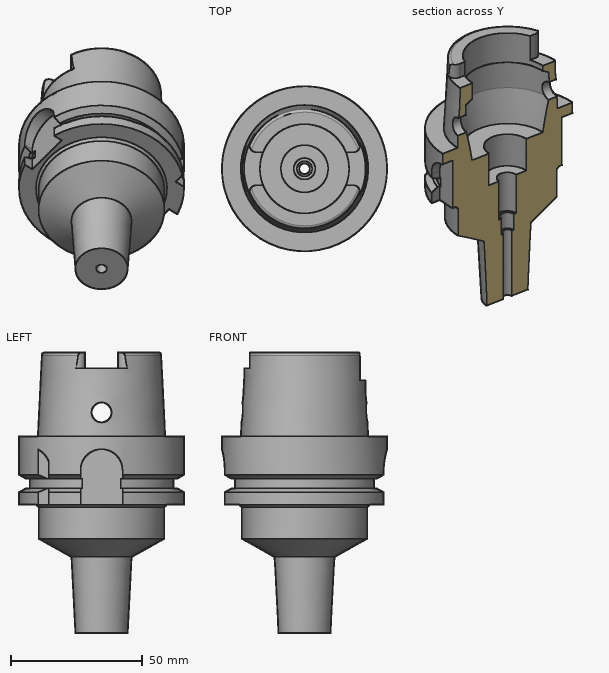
import cadquery as cq
import math


shank_height = 32.0
gauge_radius = 24.005
gauge_height = 6.3
taper_slope = 0.5 / 9.98
rim_round = 1.1

flange_radius = 31.5
flange_height = 26.0
groove_center_z = -18.0
groove_floor_radius = 27.5
groove_floor_width = 3.6
groove_flank_depth = 2.7
groove_flank_angle = 30.0
flange_foot_chamfer = 1.0

body_radius = 24.0
body_bottom_z = -39.0
nose_top_radius = 11.5
nose_top_z = -46.0
nose_bottom_radius = 10.0
nose_bottom_z = -75.0

bore_radius = 17.0
bore_land_depth = 13.0
undercut_radius = 20.0
undercut_cone_angle = 30.0
undercut_bottom_z = 6.2
bore_floor_z = -8.0
tube_seat_radius = 9.0
tube_seat_bottom_z = -22.0
upper_hole_radius = 4.1
upper_hole_bottom_z = -39.0
middle_hole_radius = 2.9
middle_hole_bottom_z = -46.0
through_hole_radius = 2.0

drive_slot_width = 12.54
drive_slot_corner_radius = 2.7
mouth_clearance = 0.3
left_drive_slot_depth = 6.0
right_drive_slot_depth = 10.6

cross_hole_radius = 3.75
cross_hole_z = 9.1

keyway_floor = 26.5
keyway_top_z = -4.9
left_keyway_width = 16.0
right_keyway_width = 18.0

notch_depth = 3.0
notch_runout_radius = 9.0


def taper_radius(z):
    return gauge_radius - (z - gauge_height) * taper_slope


def make_outer_body():
    flank_height = groove_flank_depth * math.tan(math.radians(groove_flank_angle))
    groove_shoulder_radius = flange_radius - groove_flank_depth
    groove_top_z = groove_center_z + groove_floor_width / 2
    groove_bottom_z = groove_center_z - groove_floor_width / 2
    profile = (
        cq.Workplane("YZ")
        .moveTo(0, nose_bottom_z)
        .lineTo(nose_bottom_radius, nose_bottom_z)
        .lineTo(nose_top_radius, nose_top_z)
        .lineTo(body_radius, body_bottom_z)
        .lineTo(body_radius, -flange_height - flange_foot_chamfer)
        .lineTo(body_radius + flange_foot_chamfer, -flange_height)
        .lineTo(flange_radius, -flange_height)
        .lineTo(flange_radius, groove_bottom_z - flank_height)
        .lineTo(groove_shoulder_radius, groove_bottom_z)
        .lineTo(groove_floor_radius, groove_bottom_z)
        .lineTo(groove_floor_radius, groove_top_z)
        .lineTo(groove_shoulder_radius, groove_top_z)
        .lineTo(flange_radius, groove_top_z + flank_height)
        .lineTo(flange_radius, 0)
        .lineTo(taper_radius(0), 0)
        .lineTo(taper_radius(shank_height), shank_height)
        .lineTo(0, shank_height)
        .close()
    )
    return profile.revolve(360, (0, 0), (0, 1))


def make_interior():
    undercut_depth = undercut_radius - bore_radius
    cone_height = undercut_depth * math.tan(math.radians(undercut_cone_angle))
    land_bottom_z = shank_height - bore_land_depth
    profile = (
        cq.Workplane("YZ")
        .moveTo(0, nose_bottom_z)
        .lineTo(through_hole_radius, nose_bottom_z)
        .lineTo(through_hole_radius, middle_hole_bottom_z)
        .lineTo(middle_hole_radius, middle_hole_bottom_z)
        .lineTo(middle_hole_radius, upper_hole_bottom_z)
        .lineTo(upper_hole_radius, upper_hole_bottom_z)
        .lineTo(upper_hole_radius, tube_seat_bottom_z)
        .lineTo(tube_seat_radius, tube_seat_bottom_z)
        .lineTo(tube_seat_radius, bore_floor_z)
        .lineTo(bore_radius, bore_floor_z)
        .lineTo(undercut_radius, undercut_bottom_z)
        .lineTo(undercut_radius, land_bottom_z - cone_height)
        .lineTo(bore_radius, land_bottom_z)
        .lineTo(bore_radius, shank_height)
        .lineTo(0, shank_height)
        .close()
    )
    return profile.revolve(360, (0, 0), (0, 1))


def make_drive_slot(side, depth):
    """Slot in the rim whose mouth flares into the taper with rounded corners."""
    floor_z = shank_height - depth
    half_width = drive_slot_width / 2
    outer_radius = taper_radius(floor_z - mouth_clearance)
    corner = drive_slot_corner_radius
    center_y = half_width + corner
    center_x = math.sqrt((outer_radius - corner) ** 2 - center_y**2)
    tangent_angle = math.atan2(center_y, center_x)
    tangent_x = outer_radius * math.cos(tangent_angle)
    tangent_y = outer_radius * math.sin(tangent_angle)
    middle_angle = (tangent_angle - math.pi / 2) / 2
    middle_x = center_x + corner * math.cos(middle_angle)
    middle_y = center_y + corner * math.sin(middle_angle)
    return (
        cq.Workplane("XY", origin=(0, 0, floor_z))
        .moveTo(0, -half_width)
        .lineTo(side * center_x, -half_width)
        .threePointArc((side * middle_x, -middle_y), (side * tangent_x, -tangent_y))
        .lineTo(side * flange_radius, -tangent_y)
        .lineTo(side * flange_radius, tangent_y)
        .lineTo(side * tangent_x, tangent_y)
        .threePointArc((side * middle_x, middle_y), (side * center_x, half_width))
        .lineTo(0, half_width)
        .close()
        .extrude(depth)
    )


def make_keyway(side, width):
    """Round-topped, flat-floored keyway, open at the flange bottom."""
    radius = width / 2
    arc_center_z = keyway_top_z - radius
    return (
        cq.Workplane("YZ", origin=(side * keyway_floor, 0, 0))
        .moveTo(-radius, -flange_height)
        .lineTo(-radius, arc_center_z)
        .threePointArc((0, keyway_top_z), (radius, arc_center_z))
        .lineTo(radius, -flange_height)
        .close()
        .extrude(side * flange_radius)
    )


def make_orientation_notch():
    """Notch with a floor facing -X and a side wall facing +Y, closed above by an arc along X."""
    corner_radius = flange_radius - notch_depth
    corner_offset = corner_radius / math.sqrt(2)
    arc_center_y = corner_radius
    arc_center_z = keyway_top_z - left_keyway_width / 2
    arc_top_z = arc_center_z + notch_runout_radius
    wall_reach = arc_center_y - corner_offset
    wall_top_z = arc_center_z + math.sqrt(notch_runout_radius**2 - wall_reach**2)
    return (
        cq.Workplane("YZ", origin=(-corner_offset, 0, 0))
        .moveTo(corner_offset, -flange_height)
        .lineTo(corner_offset, wall_top_z)
        .radiusArc((arc_center_y, arc_top_z), notch_runout_radius)
        .lineTo(flange_radius, arc_top_z)
        .lineTo(flange_radius, -flange_height)
        .close()
        .extrude(-flange_radius)
    )


def make_cross_hole():
    return (
        cq.Workplane("YZ", origin=(0, 0, cross_hole_z))
        .circle(cross_hole_radius)
        .extrude(flange_radius, both=True)
    )


outer_body = make_outer_body().faces(">Z").edges().fillet(rim_round)

result = (
    outer_body
    .cut(make_interior())
    .cut(make_drive_slot(-1, left_drive_slot_depth))
    .cut(make_drive_slot(1, right_drive_slot_depth))
    .cut(make_cross_hole())
    .cut(make_keyway(-1, left_keyway_width))
    .cut(make_keyway(1, right_keyway_width))
    .cut(make_orientation_notch())
)